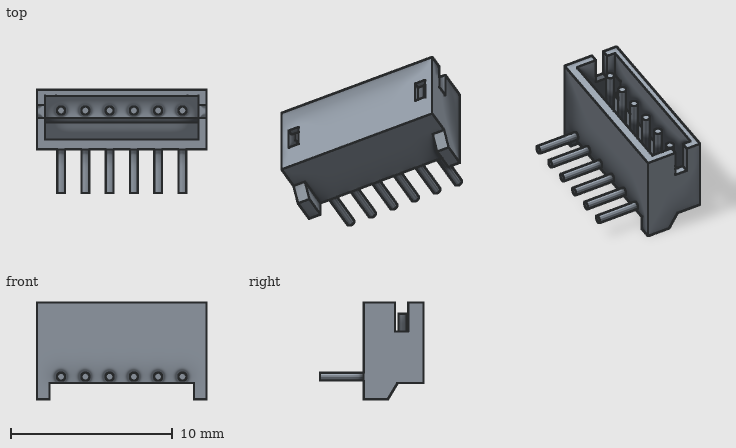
import cadquery as cq


pin_count = 6
pin_pitch = 1.5
pin_diameter = 0.5
pin_reach = 2.7
pin_height = 1.4
pin_row_y = 2.4
pin_top_gap = 0.7

end_margin = 1.5
housing_length = (pin_count - 1) * pin_pitch + 2 * end_margin
housing_depth = 3.7
housing_height = 6.0

leg_height = 1.0
leg_width = 0.8
leg_tip_depth = 1.5
leg_root_depth = 2.1

end_wall = 0.5
front_wall = 0.6
back_wall = 0.4
cavity_length = housing_length - 2 * end_wall
cavity_back_y = housing_depth - back_wall
low_floor_z = 1.9
step_height = 0.6
high_floor_z = low_floor_z + step_height
step_bottom_y = 1.65
step_top_y = 1.95

notch_front_y = 1.95
notch_width = 0.8
notch_depth = 1.8
notch_floor_z = housing_height - notch_depth

window_width = 0.7
window_height = 1.5
window_sill_z = notch_floor_z - window_height


def box(length, depth, height, x_center, y_front, z_bottom):
    """Box placed by the middle of its length, its front and its bottom."""
    return (
        cq.Workplane("XY")
        .box(length, depth, height, centered=(True, False, False))
        .translate((x_center, y_front, z_bottom))
    )


def extrude_profile(points, length):
    """Y-Z outline extruded evenly to both sides of x = 0."""
    return cq.Workplane("YZ").polyline(points).close().extrude(length / 2, both=True)


def housing_block():
    """Outer body, with a sloped leg left at each end."""
    outline = [
        (0, 0),
        (leg_tip_depth, 0),
        (leg_root_depth, leg_height),
        (housing_depth, leg_height),
        (housing_depth, housing_height),
        (0, housing_height),
    ]
    gap_length = housing_length - 2 * leg_width
    leg_gap = box(gap_length, housing_depth, leg_height, 0, 0, 0)
    return extrude_profile(outline, housing_length).cut(leg_gap)


def cavity():
    """Open-topped cavity whose floor steps up towards the back."""
    outline = [
        (front_wall, low_floor_z),
        (step_bottom_y, low_floor_z),
        (step_top_y, high_floor_z),
        (cavity_back_y, high_floor_z),
        (cavity_back_y, housing_height),
        (front_wall, housing_height),
    ]
    return extrude_profile(outline, cavity_length)


def end_notches():
    """Cutter for the notches in the rims of both end walls."""
    return box(housing_length, notch_width, notch_depth, 0, notch_front_y, notch_floor_z)


def back_window(side):
    """Cutter for the window at one end; side is -1 or 1."""
    x_center = side * (cavity_length - window_width) / 2
    return box(window_width, back_wall, window_height, x_center, cavity_back_y, window_sill_z)


def bent_pin(x):
    """Right-angle pin: upright run in the cavity, horizontal run out of the front."""
    radius = pin_diameter / 2
    horizontal_length = pin_row_y + pin_reach
    upright_length = housing_height - pin_top_gap - pin_height
    horizontal = (
        cq.Workplane("XZ", origin=(x, pin_row_y, pin_height))
        .circle(radius)
        .extrude(horizontal_length)
    )
    upright = (
        cq.Workplane("XY", origin=(x, pin_row_y, pin_height))
        .circle(radius)
        .extrude(upright_length)
    )
    return horizontal.union(upright)


result = housing_block().cut(cavity()).cut(end_notches())

for side in (-1, 1):
    result = result.cut(back_window(side))

for index in range(pin_count):
    pin_x = (index - (pin_count - 1) / 2) * pin_pitch
    result = result.union(bent_pin(pin_x))